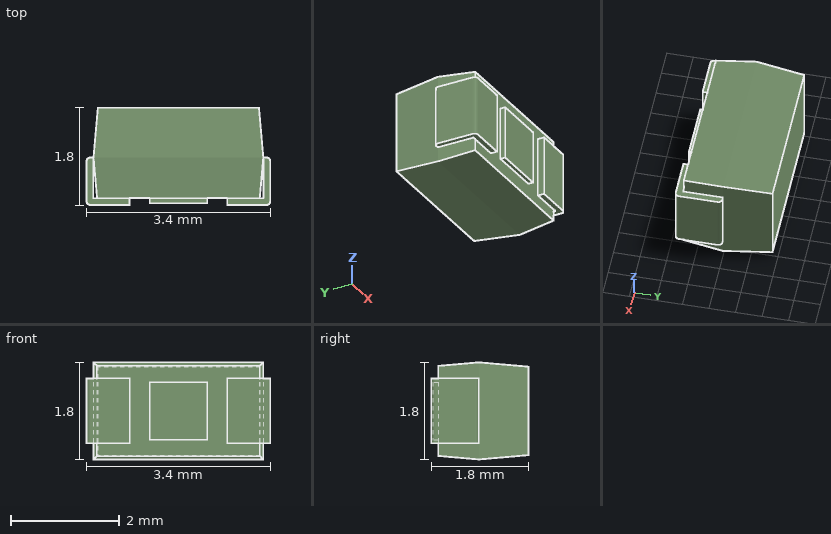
import cadquery as cq
import math

OVERALL_LENGTH = 3.4
OVERALL_DEPTH = 1.8
BODY_HEIGHT = 1.8

TERMINAL_THICKNESS = 0.13
TERMINAL_HEIGHT = 1.2
FOOT_LENGTH = 0.8
OUTER_BEND_RADIUS = 0.075

BACK_HALF_DEPTH = 0.918
DRAFT_ANGLE = 5.0

PAD_SIZE = 1.068
PAD_THICKNESS = 0.1

BODY_LENGTH = OVERALL_LENGTH - 2 * TERMINAL_THICKNESS
FRONT_HALF_DEPTH = OVERALL_DEPTH - BACK_HALF_DEPTH - TERMINAL_THICKNESS
BODY_FRONT_Y = -FRONT_HALF_DEPTH
FOOT_FRONT_Y = BODY_FRONT_Y - TERMINAL_THICKNESS


def make_body_half(y_end):
    """Drafted half of the body, lofted from the parting plane to the plane Y = y_end."""
    inset = abs(y_end) * math.tan(math.radians(DRAFT_ANGLE))
    return (
        cq.Workplane("XZ")
        .rect(BODY_LENGTH, BODY_HEIGHT)
        .workplane(offset=-y_end)
        .rect(BODY_LENGTH - 2 * inset, BODY_HEIGHT - 2 * inset)
        .loft(ruled=True)
    )


def make_body():
    """Single moulding whose widest section is at the parting plane."""
    return make_body_half(BACK_HALF_DEPTH).union(make_body_half(BODY_FRONT_Y))


def make_terminal(side):
    """L-shaped strip at one end (side = -1 or +1): a leg beside the body and a foot under it."""
    outer_x = side * OVERALL_LENGTH / 2
    inner_x = side * BODY_LENGTH / 2
    foot_tip_x = side * (OVERALL_LENGTH / 2 - FOOT_LENGTH)
    strip = (
        cq.Workplane("XY")
        .moveTo(outer_x, 0)
        .lineTo(inner_x, 0)
        .lineTo(inner_x, BODY_FRONT_Y)
        .lineTo(foot_tip_x, BODY_FRONT_Y)
        .lineTo(foot_tip_x, FOOT_FRONT_Y)
        .lineTo(outer_x, FOOT_FRONT_Y)
        .close()
        .extrude(TERMINAL_HEIGHT / 2, both=True)
    )
    outer_face = ">X" if side > 0 else "<X"
    return strip.faces(outer_face).edges("|Z").fillet(OUTER_BEND_RADIUS)


def make_pad():
    """Square pad standing on the front face of the body, midway between the feet."""
    return (
        cq.Workplane("XZ", origin=(0, BODY_FRONT_Y, 0))
        .rect(PAD_SIZE, PAD_SIZE)
        .extrude(PAD_THICKNESS)
    )


body = make_body()
terminals = [make_terminal(side) for side in (-1, 1)]
pad = make_pad()

result = cq.Compound.makeCompound(
    [body.solids().val(), *[terminal.solids().val() for terminal in terminals], pad.val()]
)